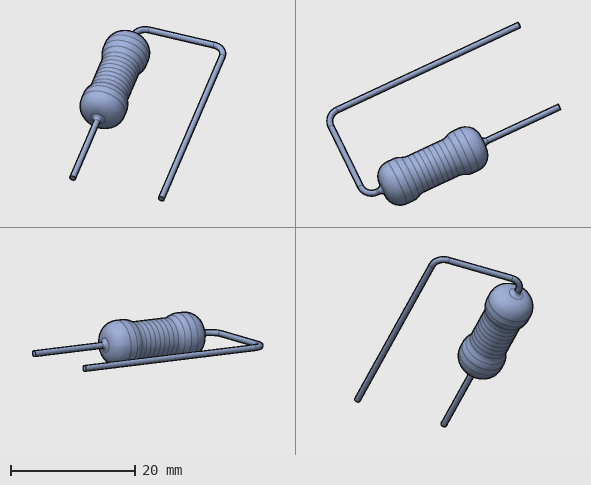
import cadquery as cq
import math


overall_length = 35.1
wire_diameter = 1.0
wire_radius = wire_diameter / 2
lead_pitch = 15.0
bend_radius = 2.0

body_start = 13.62
rim_radius = 7.5 / 2
waist_radius = 6.4 / 2
dome_radius = 2.55
dome_center_radius = rim_radius - dome_radius
collar_radius = dome_center_radius - wire_radius
rim_width = 1.23
flare_length = 2.15
band_count = 7
band_width = 0.88
body_length = 2 * (dome_radius + rim_width + flare_length) + band_count * band_width
body_middle = body_start + body_length / 2

DIAGONAL = math.sqrt(0.5)


def make_half_body():
    """Revolved half from the start-side collar to the middle of the waist."""
    dome_end = body_start + dome_radius
    rim_end = dome_end + rim_width
    waist_start = rim_end + flare_length
    collar_start = body_start - collar_radius

    half_length = flare_length / 2
    half_drop = (rim_radius - waist_radius) / 2
    flare_radius = (half_length**2 + half_drop**2) / (2 * half_drop)
    quarter = flare_length / 4
    quarter_drop = flare_radius - math.sqrt(flare_radius**2 - quarter**2)

    profile = (
        cq.Workplane("XY")
        .moveTo(0, collar_start)
        .lineTo(wire_radius, collar_start)
        .threePointArc(
            (dome_center_radius - collar_radius * DIAGONAL, collar_start + collar_radius * DIAGONAL),
            (dome_center_radius, body_start),
        )
        .threePointArc(
            (dome_center_radius + dome_radius * DIAGONAL, dome_end - dome_radius * DIAGONAL),
            (rim_radius, dome_end),
        )
        .lineTo(rim_radius, rim_end)
        .threePointArc(
            (rim_radius - quarter_drop, rim_end + quarter),
            (rim_radius - half_drop, rim_end + half_length),
        )
        .threePointArc(
            (waist_radius + quarter_drop, waist_start - quarter),
            (waist_radius, waist_start),
        )
        .lineTo(waist_radius, body_middle)
        .lineTo(0, body_middle)
        .close()
    )
    return profile.revolve(360, (0, 0, 0), (0, 1, 0))


def make_body():
    """Two mirrored halves, with the colour bands as separate waist faces."""
    half = make_half_body()
    other_half = half.mirror("XZ", (0, body_middle, 0))
    body = half.union(other_half, clean=True)

    waist_length = band_count * band_width
    first_band = body_middle - waist_length / 2
    for band in range(band_count):
        ring = (
            cq.Workplane("XZ", origin=(0, first_band + band * band_width, 0))
            .circle(waist_radius)
            .extrude(-band_width)
        )
        body = body.union(ring, clean=False)
    return body


def make_wire():
    """Round wire along the body axis, across, and back to Y = 0."""
    cross_y = overall_length - wire_radius
    bend_y = cross_y - bend_radius
    bend_inset = bend_radius * (1 - DIAGONAL)
    path = (
        cq.Workplane("XY")
        .lineTo(0, bend_y)
        .threePointArc((bend_inset, cross_y - bend_inset), (bend_radius, cross_y))
        .lineTo(lead_pitch - bend_radius, cross_y)
        .threePointArc((lead_pitch - bend_inset, cross_y - bend_inset), (lead_pitch, bend_y))
        .lineTo(lead_pitch, 0)
    )
    return cq.Workplane("XZ").circle(wire_radius).sweep(path)


result = make_body().union(make_wire(), clean=False)